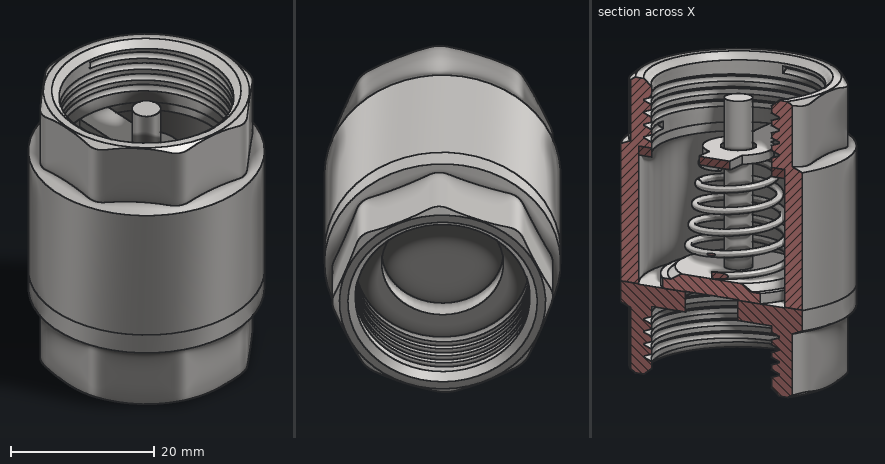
import cadquery as cq
import math

total_height = 43.0
wrench_height = 10.0
cap_band_height = 3.0
cap_height = wrench_height + cap_band_height
shoulder_z = total_height - wrench_height

body_diameter = 33.0
octagon_sides = 8
octagon_width = 29.0
octagon_corner_radius = 3.5
end_circle_diameter = 28.8
end_chamfer_angle = 35.0
shoulder_angle = 25.0
shoulder_inner_radius = 14.0

thread_minor_diameter = 24.39
thread_major_diameter = 26.44
thread_pitch = 1.814
groove_mouth_width = 1.05
groove_root_width = 0.1
thread_turns = 3.75
thread_start_height = 1.25
thread_start_angle = -90.0
mouth_depth = (thread_major_diameter - thread_minor_diameter) / 2

retainer_diameter = 27.88
retainer_thickness = 1.3
retainer_bottom_z = shoulder_z - retainer_thickness
bar_width = 5.0
bar_offset = 0.5
hub_diameter = 10.0
guide_hole_diameter = 5.0

seat_hole_diameter = 17.0
flange_diameter = 21.74
flange_thickness = 1.5
poppet_base_diameter = 19.8
poppet_top_diameter = 17.7
poppet_chamfer_height = 1.0
poppet_top_z = cap_height + flange_thickness + poppet_chamfer_height
stem_diameter = 4.0
stem_top_z = 40.0

wire_diameter = 1.0
spring_large_diameter = 15.78
spring_small_diameter = 11.0
spring_turns = 5


def cylinder(diameter, bottom_z, top_z):
    return cq.Workplane("XY").workplane(offset=bottom_z).circle(diameter / 2).extrude(top_z - bottom_z)


def cone(bottom_radius, top_radius, bottom_z, height):
    return cq.Workplane(cq.Solid.makeCone(bottom_radius, top_radius, height, cq.Vector(0, 0, bottom_z)))


def wrench_end():
    """Rounded octagon standing on z = 0, chamfered at its top by a cone."""
    corner_diameter = octagon_width / math.cos(math.pi / octagon_sides)
    octagon = (
        cq.Workplane("XY")
        .transformed(rotate=(0, 0, 180 / octagon_sides))
        .polygon(octagon_sides, corner_diameter)
        .extrude(wrench_height)
        .edges("|Z")
        .fillet(octagon_corner_radius)
    )
    top_radius = end_circle_diameter / 2
    spread = wrench_height / math.tan(math.radians(end_chamfer_angle))
    return octagon.intersect(cone(top_radius + spread, top_radius, 0, wrench_height))


def shoulder():
    """Shallow cone from the round band, at z = 0, up to the octagon."""
    outer_radius = body_diameter / 2
    height = (outer_radius - shoulder_inner_radius) * math.tan(math.radians(shoulder_angle))
    return cone(outer_radius, shoulder_inner_radius, 0, height)


def thread_groove():
    """Helical groove of the threaded socket whose floor is at z = 0."""
    minor_radius = thread_minor_diameter / 2
    major_radius = thread_major_diameter / 2
    flank_slope = (groove_mouth_width - groove_root_width) / 2 / (major_radius - minor_radius)
    overlap = 0.2
    inner_half = groove_mouth_width / 2 + flank_slope * overlap
    root_half = groove_root_width / 2
    profile = cq.Workplane("XZ").polyline([
        (minor_radius - overlap, -inner_half),
        (major_radius, -root_half),
        (major_radius, root_half),
        (minor_radius - overlap, inner_half),
    ]).close()
    helix = cq.Wire.makeHelix(thread_pitch, thread_turns * thread_pitch, minor_radius)
    groove = profile.sweep(cq.Workplane(helix), isFrenet=True)
    groove = groove.rotate((0, 0, 0), (0, 0, 1), thread_start_angle)
    return groove.translate((0, 0, thread_start_height))


def threaded_socket():
    """Cutters for one threaded end, floor at z = 0: the bore with its lead-in, and the groove."""
    bore = cylinder(thread_minor_diameter, 0, wrench_height)
    mouth_z = wrench_height - mouth_depth
    mouth = cone(thread_minor_diameter / 2, thread_major_diameter / 2, mouth_z, mouth_depth)
    return bore.union(mouth), thread_groove()


def outer_end():
    return wrench_end().union(shoulder())


def make_housing():
    top = outer_end().translate((0, 0, shoulder_z))
    body = cylinder(body_diameter, cap_height, shoulder_z).union(top)
    for space in threaded_socket():
        body = body.cut(space.translate((0, 0, shoulder_z)))
    return body.cut(cylinder(retainer_diameter, cap_height, shoulder_z))


def make_cap():
    flip = ((0, 0, 0), (1, 0, 0), 180)
    bottom = outer_end().rotate(*flip).translate((0, 0, wrench_height))
    cap = cylinder(body_diameter, wrench_height, cap_height).union(bottom)
    for space in threaded_socket():
        cap = cap.cut(space.rotate(*flip).translate((0, 0, wrench_height)))
    return cap.cut(cylinder(seat_hole_diameter, wrench_height, cap_height))


def make_retainer():
    """Ring under the housing shoulder, crossed by a bar with a round hub."""
    disc = cylinder(retainer_diameter, retainer_bottom_z, shoulder_z)
    ring = disc.cut(cylinder(thread_minor_diameter, retainer_bottom_z, shoulder_z))
    bar = (
        cq.Workplane("XY")
        .workplane(offset=retainer_bottom_z)
        .center(0, bar_offset)
        .rect(retainer_diameter, bar_width)
        .extrude(retainer_thickness)
        .intersect(disc)
    )
    hub = cylinder(hub_diameter, retainer_bottom_z, shoulder_z)
    guide_hole = cylinder(guide_hole_diameter, retainer_bottom_z, shoulder_z)
    return ring.union(bar).union(hub).cut(guide_hole)


def make_poppet():
    flange_top_z = cap_height + flange_thickness
    flange = cylinder(flange_diameter, cap_height, flange_top_z)
    head = cone(poppet_base_diameter / 2, poppet_top_diameter / 2, flange_top_z, poppet_chamfer_height)
    stem = cylinder(stem_diameter, poppet_top_z, stem_top_z)
    return flange.union(head).union(stem)


def make_spring():
    """Conical coil standing on the poppet and pressing up on the retainer."""
    start_radius = (spring_large_diameter - wire_diameter) / 2
    end_radius = (spring_small_diameter - wire_diameter) / 2
    height = retainer_bottom_z - poppet_top_z - wire_diameter
    taper = math.degrees(math.atan((start_radius - end_radius) / height))
    helix = cq.Wire.makeHelix(height / spring_turns, height, start_radius, angle=-taper)
    wire = cq.Workplane("XZ").center(start_radius, 0).circle(wire_diameter / 2)
    coil = wire.sweep(cq.Workplane(helix), isFrenet=True)
    return coil.translate((0, 0, poppet_top_z + wire_diameter / 2))


housing = make_housing()
cap = make_cap()
retainer = make_retainer()
poppet = make_poppet()
spring = make_spring()

result = cq.Compound.makeCompound([
    *[body.solids().val() for body in (housing, cap, retainer, poppet, spring)],
])